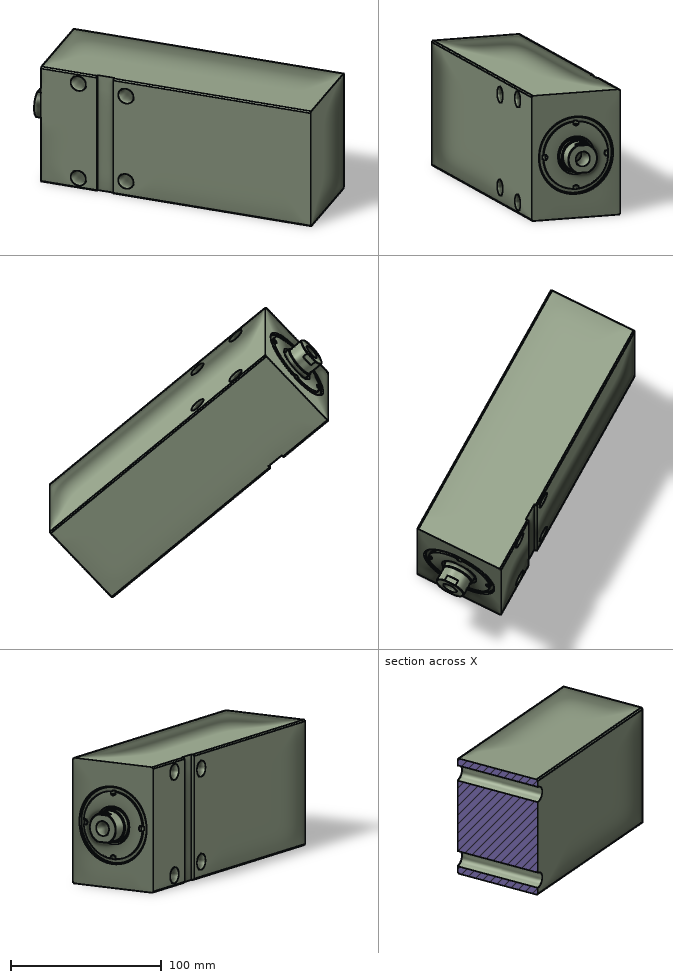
import cadquery as cq
import math

total_length = 204.5
block_length = 191.5
block_width = 63.0
block_height = 85.0
edge_chamfer = 1.0

groove_start = 39.5
groove_width = 11.9
groove_depth = 2.0

hole_diameter = 10.8
front_hole_offset = 26.5
front_hole_spacing = 70.0
rear_hole_offset = 60.3
rear_hole_spacing = 63.0

cover_radius = 25.5
cover_depth = 10.2
recess_mouth_chamfer = 0.8
boss_radius = 23.0
rim_setback = 1.5
spanner_hole_diameter = 3.7
spanner_hole_outer_radius = 23.3
spanner_hole_length = 2.2
spanner_hole_tip_angle = 118.0
spanner_hole_count = 4
bore_mouth_radius = 12.9
bore_mouth_chamfer = 1.2

collar_radius = 11.0
collar_length = 2.9
collar_chamfer = 0.5
rod_radius = 10.2
rod_tip_chamfer = 0.3
rod_bore_diameter = 10.0
rod_bore_depth = 16.4
flat_half_distance = 9.5
flat_length = 4.0

rod_projection = total_length - block_length
collar_end = -collar_length
rod_tip = -rod_projection


def revolve_about_x(points):
    """Revolve a closed (x, radius) profile about the X axis, with its seam on the -Y side."""
    profile = [(x, -radius) for x, radius in points]
    return cq.Workplane("XY").polyline(profile).close().revolve(360, (0, 0, 0), (1, 0, 0))


def cylinder_along_x(start, length, diameter):
    return cq.Workplane("YZ").workplane(offset=start).circle(diameter / 2).extrude(length)


def make_block():
    block = (
        cq.Workplane("XY")
        .box(block_length, block_width, block_height, centered=(False, True, True))
        .edges("|X")
        .chamfer(edge_chamfer)
    )

    groove = cq.Workplane("XY").box(
        groove_width, groove_depth, block_height, centered=(False, False, True)
    ).translate((groove_start, -block_width / 2, 0))
    block = block.cut(groove)

    hole_rows = [
        (front_hole_offset, front_hole_spacing),
        (rear_hole_offset, rear_hole_spacing),
    ]
    for offset, spacing in hole_rows:
        holes = (
            cq.Workplane("XZ")
            .pushPoints([(offset, -spacing / 2), (offset, spacing / 2)])
            .circle(hole_diameter / 2)
            .extrude(block_width / 2, both=True)
        )
        block = block.cut(holes)

    recess = revolve_about_x([
        (cover_depth, 0),
        (cover_depth, cover_radius),
        (recess_mouth_chamfer, cover_radius),
        (0, cover_radius + recess_mouth_chamfer),
        (0, 0),
    ])
    return block.cut(recess)


def make_spanner_hole():
    """Radial hole with a drill tip, centred on the end face so that it opens as a half round."""
    hole_radius = spanner_hole_diameter / 2
    tip_start = spanner_hole_outer_radius - spanner_hole_length
    tip_length = hole_radius / math.tan(math.radians(spanner_hole_tip_angle / 2))
    return (
        cq.Workplane("XY")
        .moveTo(0, spanner_hole_outer_radius)
        .lineTo(hole_radius, spanner_hole_outer_radius)
        .lineTo(hole_radius, tip_start)
        .lineTo(0, tip_start - tip_length)
        .close()
        .revolve(360, (0, 0, 0), (0, 1, 0))
    )


def make_cover():
    """Ring with a raised boss flush with the block, a set-back rim and a flared bore mouth."""
    cover = revolve_about_x([
        (cover_depth, collar_radius),
        (bore_mouth_chamfer, collar_radius),
        (bore_mouth_chamfer, bore_mouth_radius - bore_mouth_chamfer),
        (0, bore_mouth_radius),
        (0, boss_radius),
        (rim_setback, boss_radius),
        (rim_setback, cover_radius),
        (cover_depth, cover_radius),
    ])
    spanner_hole = make_spanner_hole()
    for index in range(spanner_hole_count):
        angle = index * 360 / spanner_hole_count
        cover = cover.cut(spanner_hole.rotate((0, 0, 0), (1, 0, 0), angle))
    return cover


def make_rod():
    rod = revolve_about_x([
        (cover_depth, 0),
        (cover_depth, collar_radius),
        (collar_end + collar_chamfer, collar_radius),
        (collar_end, collar_radius - collar_chamfer),
        (collar_end, rod_radius),
        (rod_tip, rod_radius),
        (rod_tip, 0),
    ])
    flat_depth = rod_radius - flat_half_distance
    for side in (-1, 1):
        flat = cq.Workplane("XY").box(
            flat_length, 2 * rod_radius, flat_depth, centered=(False, True, True)
        ).translate((rod_tip, 0, side * (flat_half_distance + flat_depth / 2)))
        rod = rod.cut(flat)

    rod = rod.faces("<X").chamfer(rod_tip_chamfer)
    return rod.cut(cylinder_along_x(rod_tip, rod_bore_depth, rod_bore_diameter))


block = make_block()
cover = make_cover()
rod = make_rod()

result = cq.Compound.makeCompound([block.val(), cover.val(), rod.val()])